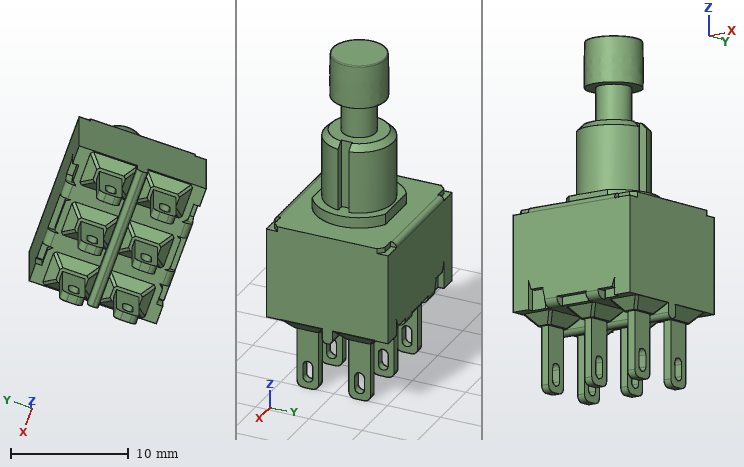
import cadquery as cq


total_height = 30.35
case_bottom = 6.75
case_top = 15.17
plate_top = 15.63
flange_top = 16.63
bushing_top = 23.0
cap_bottom = 26.3

case_length = 12.7
case_width = 11.45
cover_thickness = 0.55
core_width = case_width - 2 * cover_thickness
cover_half = 4.7
plate_corner_chamfer = 0.5
cover_top_radius = plate_top - case_top

cover_edge = 7.5
step_edge = 8.45
step_start = 9.28
step_end_x = 3.15
corner_cut_width = 0.3
corner_cut_height = 0.75

tab_inner_x = 1.58
tab_outer_x = 2.9
notch_mouth_inner_x = 1.4
notch_mouth_outer_x = 3.28
notch_depth = 0.35
tab_bend_radius = 0.67

flange_diameter = 8.05
flange_across_flats = 6.9
bushing_diameter = 6.37
bushing_chamfer = 0.55
keyway_width = 1.0
keyway_floor_x = 2.43
plunger_diameter = 3.1
cap_top_diameter = 4.9
cap_middle_diameter = 5.05
cap_bottom_diameter = 5.0
cap_edge_fillet = 0.1

terminal_pitch_x = 4.7
terminal_y = 2.43
terminal_thickness = 0.75
terminal_width = 2.03
terminal_corner_radius = 0.6
eyelet_width = 0.9
eyelet_length = 1.97
eyelet_bottom = 0.6
boss_height = 1.0
boss_flare = 0.88
boss_tip_length = 1.37
boss_tip_width = 2.58
boss_corner_chamfer = 0.18

rib_width = 0.97
rib_bottom = 5.43
rib_edge_radius = 0.45


def block(length, width, bottom, top):
    """Upright block centred on the Z axis."""
    return cq.Workplane("XY").workplane(offset=bottom).rect(length, width).extrude(top - bottom)


def disc(diameter, bottom, top):
    """Upright cylinder on the Z axis."""
    return cq.Workplane("XY").workplane(offset=bottom).circle(diameter / 2).extrude(top - bottom)


def make_case():
    """Core between two end walls, under a plate with cut corners."""
    core = block(case_length, core_width, case_bottom, case_top)
    wall_length = case_length / 2 - cover_half
    for side in (-1, 1):
        wall = block(wall_length, case_width, case_bottom, case_top)
        core = core.union(wall.translate((side * (cover_half + wall_length / 2), 0, 0)))
    plate = block(case_length, core_width, case_top, plate_top)
    return core.union(plate.edges("|Z").chamfer(plate_corner_chamfer))


def make_notch(side):
    """Flared notch in the lower front edge of the core, wide at its mouth."""
    mouth_y = -core_width / 2
    back_y = mouth_y + notch_depth
    return (
        cq.Workplane("XY")
        .workplane(offset=case_bottom)
        .moveTo(side * notch_mouth_inner_x, mouth_y)
        .lineTo(side * notch_mouth_outer_x, mouth_y)
        .lineTo(side * tab_outer_x, back_y)
        .lineTo(side * tab_inner_x, back_y)
        .close()
        .extrude(cover_edge - case_bottom)
    )


def make_cover():
    """Front cover sheet with a stepped lower edge and two tabs bent inward."""
    front_y = -case_width / 2
    sheet = (
        cq.Workplane("XZ", origin=(0, front_y, 0))
        .moveTo(-cover_half, plate_top)
        .lineTo(-cover_half, step_start)
        .lineTo(-cover_half + corner_cut_width, step_edge)
        .lineTo(-step_end_x, step_edge)
        .lineTo(-tab_outer_x, cover_edge)
        .lineTo(cover_half - corner_cut_width, cover_edge)
        .lineTo(cover_half, cover_edge + corner_cut_height)
        .lineTo(cover_half, plate_top)
        .close()
        .extrude(-cover_thickness)
    )
    sheet = sheet.edges("|X and <Y and >Z").fillet(cover_top_radius)
    tab_depth = cover_thickness + notch_depth
    for side in (-1, 1):
        tab = (
            block(tab_outer_x - tab_inner_x, tab_depth, case_bottom, cover_edge)
            .edges("|X and <Y and <Z")
            .fillet(tab_bend_radius)
            .translate((side * (tab_inner_x + tab_outer_x) / 2, front_y + tab_depth / 2, 0))
        )
        sheet = sheet.union(tab)
    return sheet


def make_flange():
    """Round flange with a flat on each long side."""
    flats = block(flange_diameter, flange_across_flats, plate_top, flange_top)
    return disc(flange_diameter, plate_top, flange_top).intersect(flats)


def make_bushing():
    """Chamfered bushing with a keyway down its +X side."""
    bushing = disc(bushing_diameter, flange_top, bushing_top).faces(">Z").chamfer(bushing_chamfer)
    keyway_length = bushing_diameter / 2
    keyway = block(keyway_length, keyway_width, flange_top, bushing_top)
    return bushing.cut(keyway.translate((keyway_floor_x + keyway_length / 2, 0, 0)))


def make_button():
    """Plunger carrying a slightly barrelled cap."""
    plunger = disc(plunger_diameter, bushing_top, cap_bottom)
    cap = (
        cq.Workplane("XZ")
        .moveTo(0, cap_bottom)
        .lineTo(cap_bottom_diameter / 2, cap_bottom)
        .threePointArc(
            (cap_middle_diameter / 2, (cap_bottom + total_height) / 2),
            (cap_top_diameter / 2, total_height),
        )
        .lineTo(0, total_height)
        .close()
        .revolve(360, (0, 0, 0), (0, 1, 0))
    )
    return plunger.union(cap.faces(">Z").edges().fillet(cap_edge_fillet))


def make_terminal():
    """Flat terminal with a solder eyelet, below a tapered boss."""
    boss_bottom = case_bottom - boss_height
    eyelet = (
        cq.Workplane("YZ")
        .center(0, eyelet_bottom + eyelet_length / 2)
        .slot2D(eyelet_length, eyelet_width, 90)
        .extrude(terminal_thickness, both=True)
    )
    blade = (
        block(terminal_thickness, terminal_width, 0, case_bottom)
        .edges("|X and <Z")
        .fillet(terminal_corner_radius)
        .cut(eyelet)
    )
    boss = (
        cq.Workplane("XY")
        .workplane(offset=boss_bottom)
        .rect(boss_tip_length, boss_tip_width)
        .workplane(offset=boss_height)
        .rect(boss_tip_length + 2 * boss_flare, boss_tip_width + 2 * boss_flare)
        .loft(ruled=True)
        .edges("not(#Z or |X or |Y)")
        .chamfer(boss_corner_chamfer)
    )
    return blade.union(boss)


def make_rib():
    """Round-edged rib along the middle of the underside."""
    return block(case_length, rib_width, rib_bottom, case_bottom).edges("|X and <Z").fillet(rib_edge_radius)


case = make_case()
for tab_side in (-1, 1):
    notch = make_notch(tab_side)
    case = case.cut(notch).cut(notch.mirror("XZ"))

cover = make_cover()
result = case.union(cover).union(cover.mirror("XZ"))
for feature in (make_flange(), make_bushing(), make_button(), make_rib()):
    result = result.union(feature)

terminal = make_terminal()
for column in (-1, 0, 1):
    for row in (-1, 1):
        result = result.union(terminal.translate((column * terminal_pitch_x, row * terminal_y, 0)))